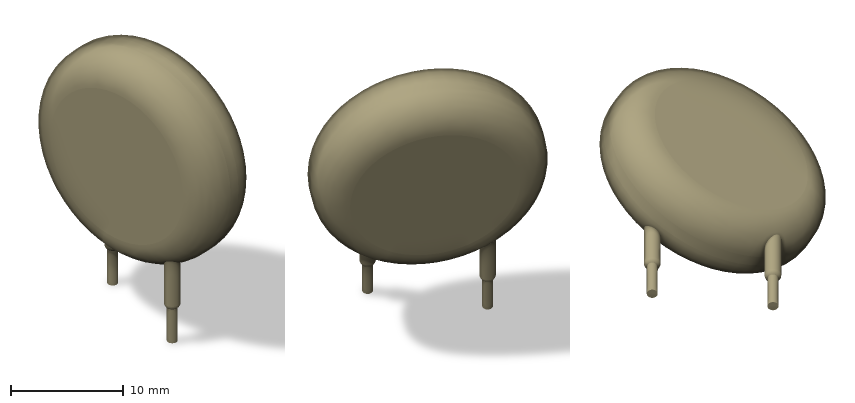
import cadquery as cq

DISC_DIAMETER = 21.5
DISC_THICKNESS = 7.1
RIM_RADIUS = 3.0

OVERALL_HEIGHT = 28.1
LEAD_OFFSET_X = 5.1
LEAD_OFFSET_Y = 1.9
WIRE_DIAMETER = 0.98
SHORT_WIRE_GAP = 0.08

SLEEVE_DIAMETER = 1.5
SLEEVE_END_Z = -13.7
SLEEVE_END_RADIUS = 0.5

WIRE_END_Z = DISC_DIAMETER / 2 - OVERALL_HEIGHT
ROOT_Z = -5.62


def rod(x, y, diameter, end_z):
    """Vertical rod from inside the disc down to end_z."""
    return cq.Workplane("XY", origin=(x, y, end_z)).circle(diameter / 2).extrude(ROOT_Z - end_z)


def make_disc():
    blank = cq.Workplane("XZ", origin=(0, -DISC_THICKNESS / 2, 0))
    blank = blank.circle(DISC_DIAMETER / 2).extrude(-DISC_THICKNESS)
    return blank.faces("<Y or >Y").edges().fillet(RIM_RADIUS)


def make_wire(x, y, end_z, disc):
    """Bare wire running from the disc surface to its free end."""
    return rod(x, y, WIRE_DIAMETER, end_z).cut(disc)


def make_sleeve(x, y, disc):
    """Tube that fits around the wire, rounded at its lower end."""
    outside = rod(x, y, SLEEVE_DIAMETER, SLEEVE_END_Z)
    outside = outside.faces("<Z").edges().fillet(SLEEVE_END_RADIUS)
    bore = rod(x, y, WIRE_DIAMETER, SLEEVE_END_Z)
    return outside.cut(bore).cut(disc)


disc = make_disc()

wires = []
sleeves = []
for side, end_z in ((-1, WIRE_END_Z), (1, WIRE_END_Z + SHORT_WIRE_GAP)):
    lead_x = side * LEAD_OFFSET_X
    lead_y = -side * LEAD_OFFSET_Y
    wires.append(make_wire(lead_x, lead_y, end_z, disc).val())
    sleeves.append(make_sleeve(lead_x, lead_y, disc).val())

result = cq.Compound.makeCompound([disc.val(), *sleeves, *wires])